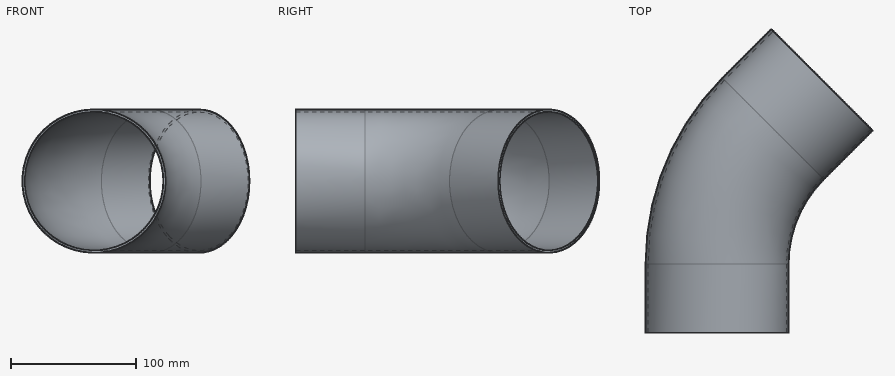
import cadquery as cq
import math

outer_diameter = 114.3
inner_diameter = 110.3
bend_radius = 152.5
bend_angle = 45.0
tangent_length = 55.0


def bend_point(angle_deg):
    """Point on the centreline arc, turned by the given angle from the first tangent."""
    angle = math.radians(angle_deg)
    x = bend_radius * (1 - math.cos(angle))
    y = tangent_length + bend_radius * math.sin(angle)
    return x, y


def make_centreline():
    """Straight along +Y, bend toward +X, then straight again."""
    end_direction = math.radians(bend_angle)
    bend_end = bend_point(bend_angle)
    outlet = (
        bend_end[0] + tangent_length * math.sin(end_direction),
        bend_end[1] + tangent_length * math.cos(end_direction),
    )
    return (
        cq.Workplane("XY")
        .lineTo(0, tangent_length)
        .threePointArc(bend_point(bend_angle / 2), bend_end)
        .lineTo(*outlet)
    )


def make_elbow():
    """Sweep the pipe's ring section, which starts in the Y = 0 plane, along the centreline."""
    ring = cq.Workplane("XZ").circle(outer_diameter / 2).circle(inner_diameter / 2)
    return ring.sweep(make_centreline())


result = make_elbow()